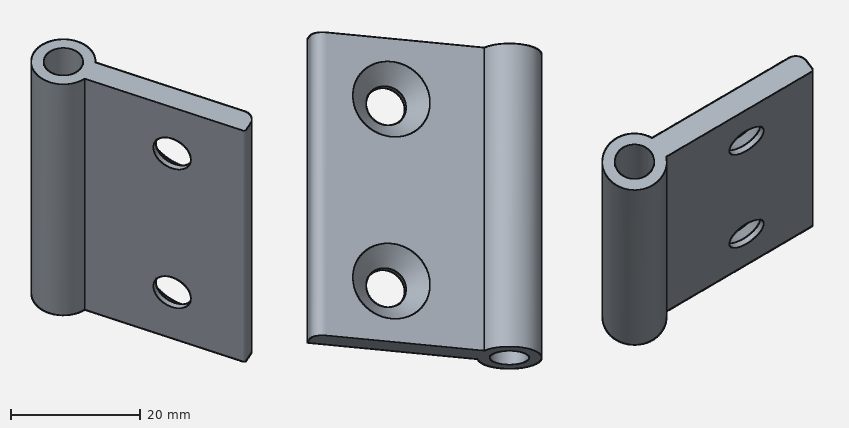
import cadquery as cq

height = 50.0
barrel_diameter = 10.0
bore_diameter = 6.1

leaf_thickness = 4.0
overall_width = 37.0
leaf_end = overall_width - barrel_diameter / 2
back_edge_radius = 2.0
front_edge_radius = 0.4

hole_diameter = 6.4
straight_depth = 1.0
countersink_diameter = hole_diameter + 2 * (leaf_thickness - straight_depth)
hole_x = 19.5
hole_spacing = 30.0


def make_leaf():
    """Plate from the barrel axis to the free edge, with both free edges rounded."""
    leaf = cq.Workplane("XY").box(leaf_end, leaf_thickness, height, centered=(False, True, True))
    leaf = leaf.edges("|Z and >X and >Y").fillet(back_edge_radius)
    return leaf.edges("|Z and >X and <Y").fillet(front_edge_radius)


def make_cylinder(diameter):
    """Full-height cylinder on the barrel axis."""
    return cq.Workplane("XY").circle(diameter / 2).extrude(height / 2, both=True)


def make_screw_hole(hole_z):
    """Straight hole opening into a cone towards the back face, turned about an axis along Y."""
    front = -leaf_thickness / 2
    back = leaf_thickness / 2
    cone_start = front + straight_depth
    profile = [
        (0, front),
        (hole_diameter / 2, front),
        (hole_diameter / 2, cone_start),
        (countersink_diameter / 2, back),
        (0, back),
    ]
    hole = cq.Workplane("XY").polyline(profile).close().revolve(360, (0, 0), (0, 1))
    return hole.translate((hole_x, 0, hole_z))


hinge = make_cylinder(barrel_diameter).union(make_leaf())
hinge = hinge.cut(make_cylinder(bore_diameter))
for hole_z in (-hole_spacing / 2, hole_spacing / 2):
    hinge = hinge.cut(make_screw_hole(hole_z))
result = hinge